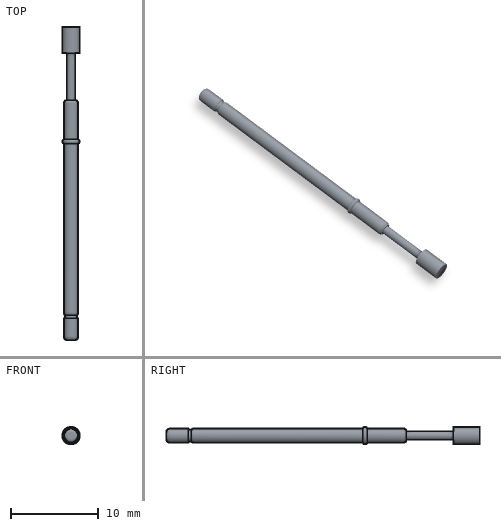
import cadquery as cq
import math

total_length = 35.7
head_radius = 1.0
head_length = 3.0
plunger_radius = 0.5
plunger_length = 5.35
barrel_radius = 0.82
mouth_radius = 0.68
mouth_taper_length = 0.32
mouth_hollow_share = 0.5
collar_to_mouth = 4.7
collar_bead_radius = 0.25
groove_radius = 0.68
groove_arc_length = 0.32
groove_step_radius = 0.75
tail_length = 2.55
tail_rounding = 0.43

tail_end = -total_length / 2
head_end = total_length / 2
head_back = head_end - head_length
mouth = head_back - plunger_length
collar_center = mouth - collar_to_mouth
tail_shoulder = tail_end + tail_length
groove_bottom = tail_shoulder + groove_arc_length
groove_end = groove_bottom + groove_arc_length


def arc_middle(tangent_point, other_point):
    """Middle of the arc between two (radius, y) points that runs along the axis at the first one."""
    rise = other_point[0] - tangent_point[0]
    run = other_point[1] - tangent_point[1]
    bend_radius = (rise**2 + run**2) / (2 * abs(rise))
    half_angle = math.atan2(abs(rise), abs(run))
    return (
        tangent_point[0] + math.copysign(bend_radius * (1 - math.cos(half_angle)), rise),
        tangent_point[1] + math.copysign(bend_radius * math.sin(half_angle), run),
    )


tail_face_rim = (barrel_radius - tail_rounding, tail_end)
tail_side = (barrel_radius, tail_end + tail_rounding)

groove_step = (groove_step_radius, tail_shoulder)
groove_low = (groove_radius, groove_bottom)
barrel_start = (barrel_radius, groove_end)

bead_center_radius = head_radius - collar_bead_radius
bead_half_width = math.sqrt(collar_bead_radius**2 - (barrel_radius - bead_center_radius) ** 2)
collar_crest = (head_radius, collar_center)

barrel_end = (barrel_radius, mouth - mouth_taper_length)
mouth_inflection = (
    mouth_radius + mouth_hollow_share * (barrel_radius - mouth_radius),
    mouth - mouth_hollow_share * mouth_taper_length,
)
mouth_rim = (mouth_radius, mouth)

outline = (
    cq.Workplane("XY")
    .moveTo(0, tail_end)
    .lineTo(*tail_face_rim)
    .threePointArc(arc_middle(tail_side, tail_face_rim), tail_side)
    .lineTo(barrel_radius, tail_shoulder)
    .lineTo(*groove_step)
    .threePointArc(arc_middle(groove_low, groove_step), groove_low)
    .threePointArc(arc_middle(barrel_start, groove_low), barrel_start)
    .lineTo(barrel_radius, collar_center - bead_half_width)
    .threePointArc(collar_crest, (barrel_radius, collar_center + bead_half_width))
    .lineTo(*barrel_end)
    .threePointArc(arc_middle(barrel_end, mouth_inflection), mouth_inflection)
    .threePointArc(arc_middle(mouth_rim, mouth_inflection), mouth_rim)
    .lineTo(plunger_radius, mouth)
    .lineTo(plunger_radius, head_back)
    .lineTo(head_radius, head_back)
    .lineTo(head_radius, head_end)
    .lineTo(0, head_end)
    .close()
)
result = outline.revolve(360, (0, 0, 0), (0, 1, 0))